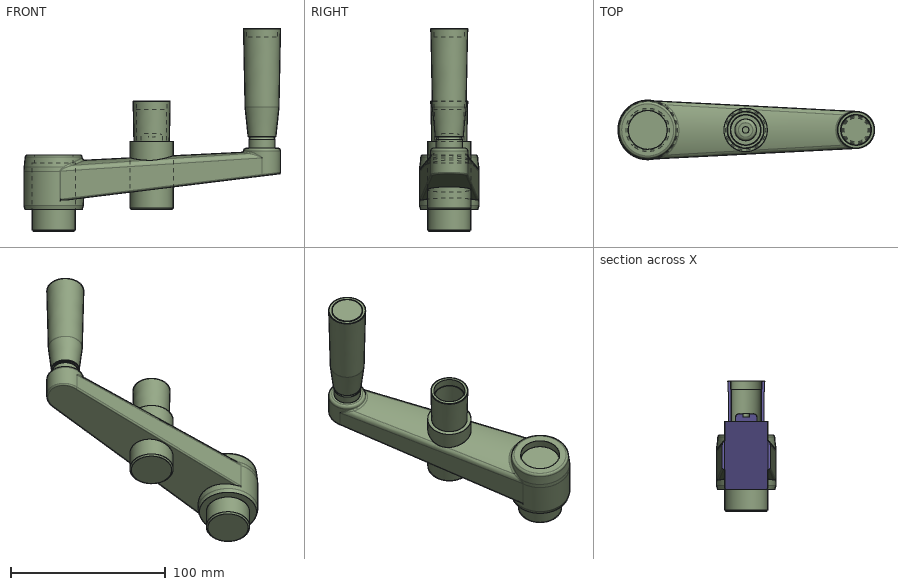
import cadquery as cq
import math


bushing_lift = 14.0
middle_x = 63.2
handle_x = 134.43

bushing_radius = 14.0
bushing_length = 44.0
bushing_chamfer = 1.0
bushing_places = [(0.0, 0.0), (middle_x, bushing_lift)]
middle_bushing_top = bushing_lift + bushing_length

hub_radius = 19.25
hub_height = 35.4
hub_top = bushing_lift + hub_height
hub_foot_height = 2.6
hub_foot_inset = 0.8
hub_cone_start = 40.15
hub_cone_angle = 6.3
hub_cone_blend = 25.0
hub_shoulder_round = 1.6
hub_recess_radius = 12.5

arm_half_width_at_hub = 19.0
end_boss_radius = 12.0
end_boss_top = 53.7
end_boss_round = 2.0
crown_radius = 45.0
crown_height_at_hub = 45.0
crown_slope = 0.05
underside_height_at_hub = 19.2
underside_angle = 7.0
arm_upper_round = 3.4
arm_lower_round = 1.0
hub_blend = 1.6
end_boss_blend = 1.2

grip_top_radius = 12.0
grip_waist_radius = 11.0
grip_foot_radius = 9.0
grip_top = 130.9
grip_waist_height = 80.2
grip_foot_height = 60.9
grip_edge_chamfer = 0.3
socket_radius = 9.95
socket_depth = 5.5
cap_edge_chamfer = 0.3

spindle_radius = 8.5
spindle_chamfer_radius = 0.8
spindle_chamfer_height = 1.7

sleeve_top = 84.2
sleeve_bore_radius = 9.65

stud_radius = 7.0
stud_flat_radius = 4.64
stud_height = 5.0
stud_hole_radius = 2.1
stud_hole_depth = 2.0

clearance_height = 2 * hub_top


def cylinder(radius, bottom, top, x=0.0):
    """Upright cylinder on the line of the crank."""
    return cq.Workplane("XY", origin=(x, 0, bottom)).circle(radius).extrude(top - bottom)


def turned(profile, x=0.0):
    """Solid of revolution about an upright axis from (radius, height) points."""
    solid = cq.Workplane("XZ").polyline(profile).close().revolve(360, (0, 0, 0), (0, 1, 0))
    return solid.rotate((0, 0, 0), (0, 0, 1), 180).translate((x, 0, 0))


def make_main_hub():
    top_radius = hub_radius - (hub_top - hub_cone_start) * math.tan(math.radians(hub_cone_angle))
    hub = turned([
        (0, bushing_lift),
        (hub_radius - hub_foot_inset, bushing_lift),
        (hub_radius, bushing_lift + hub_foot_height),
        (hub_radius, hub_cone_start),
        (top_radius, hub_top),
        (0, hub_top),
    ])
    at_cone_start = cq.selectors.BoxSelector(
        (-hub_radius - 1, -hub_radius - 1, hub_cone_start - 1),
        (hub_radius + 1, hub_radius + 1, hub_cone_start + 1),
        boundingbox=True,
    )
    hub = hub.edges(at_cone_start).fillet(hub_cone_blend)
    return hub.faces(">Z").edges().fillet(hub_shoulder_round)


def make_bar():
    """Tapering bar with a crowned top, running between the two hub axes."""
    bar = (
        cq.Workplane("XY")
        .moveTo(0, -arm_half_width_at_hub)
        .lineTo(handle_x, -end_boss_radius)
        .lineTo(handle_x, end_boss_radius)
        .lineTo(0, arm_half_width_at_hub)
        .close()
        .extrude(clearance_height)
    )
    crown_angle = math.degrees(math.atan(crown_slope))
    crown_axis_drop = crown_radius / math.cos(math.radians(crown_angle))
    crown = (
        cq.Workplane("YZ", origin=(-handle_x, 0, 0))
        .circle(crown_radius)
        .extrude(3 * handle_x)
        .rotate((0, 0, 0), (0, 1, 0), -crown_angle)
        .translate((0, 0, crown_height_at_hub - crown_axis_drop))
    )
    bar = bar.intersect(crown)
    crown_edges = [
        edge for edge in bar.faces("<Y or >Y").edges().vals()
        if edge.Center().z > underside_height_at_hub + 15 and abs(edge.tangentAt(0.5).z) < 0.5
    ]
    return bar.newObject(crown_edges).fillet(arm_upper_round)


def make_end_boss():
    boss = cylinder(end_boss_radius, 0, end_boss_top, handle_x)
    return boss.faces(">Z").edges().fillet(end_boss_round)


def underside_height(x):
    return underside_height_at_hub + x * math.tan(math.radians(underside_angle))


def make_underside_cut():
    """Everything below the sloping underside of the arm."""
    start = -hub_radius
    end = handle_x + hub_radius
    return (
        cq.Workplane("XZ")
        .moveTo(start, -clearance_height)
        .lineTo(end, -clearance_height)
        .lineTo(end, underside_height(end))
        .lineTo(start, underside_height(start))
        .close()
        .extrude(2 * hub_radius, both=True)
    )


def make_arm():
    arm = make_bar().union(make_end_boss()).cut(make_underside_cut())

    boss_seam = [
        edge for edge in arm.edges().vals()
        if edge.BoundingBox().xmin > handle_x - 2 * end_boss_radius
        and edge.BoundingBox().xmin < handle_x - 0.5 * end_boss_radius
        and edge.BoundingBox().zmax < end_boss_top - 0.9 * end_boss_round
    ]
    arm = arm.newObject(boss_seam).fillet(end_boss_blend)

    lower_edges = [
        edge for edge in arm.edges().vals()
        if abs(edge.Center().z - underside_height(edge.Center().x)) < 0.3
        and edge.BoundingBox().xmax > 1
    ]
    hub = make_main_hub()
    slivers = arm.cut(arm.newObject(lower_edges).fillet(arm_lower_round)).cut(hub)

    arm = arm.union(hub)
    hub_seam = [
        edge for edge in arm.edges().vals()
        if 0 < edge.BoundingBox().xmin and edge.BoundingBox().xmax < hub_radius
        and hub_cone_start - 2 < edge.Center().z < hub_top - 1
        and edge.BoundingBox().zmax - edge.BoundingBox().zmin > 0.5
    ]
    arm = arm.newObject(hub_seam).fillet(hub_blend).cut(slivers)

    for x, bottom in bushing_places:
        arm = arm.cut(cylinder(bushing_radius, bottom, bottom + bushing_length, x))
    return arm.cut(cylinder(hub_recess_radius, bushing_length, hub_top))


def make_bushing(x, bottom):
    bushing = cylinder(bushing_radius, bottom, bottom + bushing_length, x)
    return bushing.faces("<Z").edges().chamfer(bushing_chamfer)


def make_grip():
    grip = turned([
        (0, grip_foot_height),
        (grip_foot_radius, grip_foot_height),
        (grip_waist_radius, grip_waist_height),
        (grip_top_radius, grip_top),
        (0, grip_top),
    ], handle_x)
    grip = grip.faces("<Z or >Z").edges().chamfer(grip_edge_chamfer)
    return grip.cut(cylinder(socket_radius, grip_top - socket_depth, grip_top, handle_x))


def make_cap():
    cap = cylinder(socket_radius, grip_top - socket_depth, grip_top, handle_x)
    return cap.faces(">Z").edges().chamfer(cap_edge_chamfer)


def make_spindle():
    spindle = cylinder(spindle_radius, end_boss_top, grip_foot_height, handle_x)
    return spindle.faces(">Z").edges().chamfer(spindle_chamfer_height, spindle_chamfer_radius)


def make_sleeve():
    """Short sleeve with the taper of the grip, open at the top, standing on the middle bushing."""
    taper = (grip_top_radius - grip_waist_radius) / (grip_top - grip_waist_height)
    foot_radius = grip_top_radius - taper * (sleeve_top - middle_bushing_top)
    sleeve = turned([
        (0, middle_bushing_top),
        (foot_radius, middle_bushing_top),
        (grip_top_radius, sleeve_top),
        (0, sleeve_top),
    ], middle_x)
    sleeve = sleeve.faces(">Z").edges().chamfer(grip_edge_chamfer)
    sleeve = sleeve.cut(cylinder(sleeve_bore_radius, middle_bushing_top, sleeve_top, middle_x))
    return sleeve.cut(cylinder(socket_radius, sleeve_top - socket_depth, sleeve_top, middle_x))


def make_stud():
    stud_top = middle_bushing_top + stud_height
    stud = cylinder(stud_radius, middle_bushing_top, stud_top, middle_x)
    stud = stud.faces(">Z").edges().fillet(stud_radius - stud_flat_radius)
    return stud.cut(cylinder(stud_hole_radius, stud_top - stud_hole_depth, stud_top, middle_x))


arm = make_arm()
bushings = [make_bushing(x, bottom) for x, bottom in bushing_places]
spindle = make_spindle()
grip = make_grip()
cap = make_cap()
sleeve = make_sleeve()
stud = make_stud()

result = cq.Compound.makeCompound([
    arm.val(),
    *[bushing.val() for bushing in bushings],
    spindle.val(),
    grip.val(),
    cap.val(),
    sleeve.val(),
    stud.val(),
])